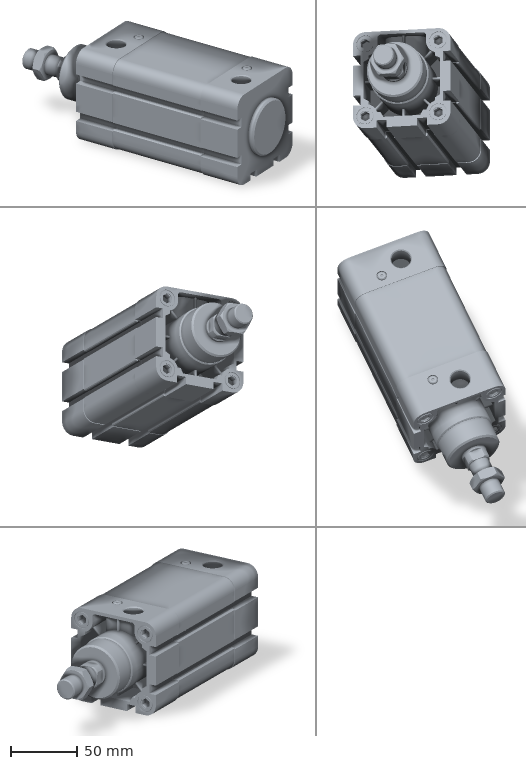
import cadquery as cq
import math


CAP_LENGTH = 33.0
TUBE_LENGTH = 79.7
BODY_LENGTH = 2 * CAP_LENGTH + TUBE_LENGTH
BODY_WIDTH = 75.0
CORNER_RADIUS = 9.5
TUBE_INSET = 0.5
TUBE_WIDTH = BODY_WIDTH - 2 * TUBE_INSET

SLOT_OFFSET = 15.5
SLOT_LIP = 2.2
SLOT_CHAMFER = 0.7
CAP_SLOT_WIDTH = 7.7
CAP_SLOT_DEPTH = 5.7
TUBE_SLOT_WIDTH = 6.5
TUBE_SLOT_MOUTH = 5.3
TUBE_SLOT_DEPTH = 4.8

POCKET_DEPTH = 26.3
POCKET_HALF = 29.3
POCKET_TOP = 34.8
POCKET_TOP_RADIUS = 2.5
POCKET_SIDE_END = 14.2
POCKET_STEP = 25.5
POCKET_STEP_START = 16.5
RIB_DIAMETER = 1.9
RIB_REACH = 31.0
RIB_START = 5.5

COLLAR_DIAMETER = 45.1
COLLAR_START = -9.9
COLLAR_CHAMFER = 0.9
NOSE_DIAMETER = 43.0
NOSE_START = -27.0
SPIGOT_DIAMETER = 45.0
SPIGOT_LENGTH = 4.4
END_CHAMFER = 1.3

SCREW_OFFSET = BODY_WIDTH / 2 - CORNER_RADIUS
SCREW_GROOVE_OUTER = 13.5
SCREW_GROOVE_INNER = 12.0
SCREW_GROOVE_DEPTH = 0.7
SCREW_RIM_DIAMETER = 8.0
SCREW_RIM_DEPTH = 0.7
SCREW_HEX_FLATS = 6.5
SCREW_HEX_DEPTH = 6.5

PORT_INSET = 16.5
PORT_Y = -7.5
PORT_DIAMETER = 15.0
PORT_RIM = 16.5
PORT_DEPTH = 13.1
PORT_BLOCK_HALF = 15.8
PORT_BLOCK_RADIUS = 8.5
PORT_BLOCK_START = 8.5
CUSHION_INSET = 24.0
CUSHION_Y = 11.5
CUSHION_RECESS_DIAMETER = 8.0
CUSHION_RECESS_DEPTH = 1.0
CUSHION_HEAD_DIAMETER = 6.8
CUSHION_HEAD_CHAMFER = 0.7
CUSHION_PROTRUSION = 0.5
CUSHION_SOCKET_DIAMETER = 1.9
CUSHION_SOCKET_RIM = 2.5
CUSHION_SOCKET_DEPTH = 0.7

ROD_DIAMETER = 20.0
ROD_END = CAP_LENGTH
ROD_SHOULDER = -37.0
ROD_CHAMFER = 0.9
THREAD_DIAMETER = 16.0
ROD_TIP = BODY_LENGTH + SPIGOT_LENGTH - 219
FLATS_WIDTH = 17.0
FLATS_END = -29.5
FLATS_RUNOUT = 0.7
NUT_START = -56.5
NUT_LENGTH = 8.0
NUT_FLATS = 23.0
NUT_CORNERS = NUT_FLATS / math.cos(math.pi / 6)
NUT_CHAMFER = 1.0
HEXAGON_TURN = 30


def cross_section(x):
    """Workplane across the axis at x, with local axes Y and Z."""
    return cq.Workplane("YZ", origin=(x, 0, 0))


def disc(x, diameter, length):
    """Cylinder on the axis, running from x towards +X."""
    return cross_section(x).circle(diameter / 2).extrude(length)


def rimmed_hole(diameter, rim_diameter, depth):
    """Cutter for a blind hole down from Z = 0, with a 45 degree rim chamfer."""
    rim = (rim_diameter - diameter) / 2
    return (
        cq.Workplane("XZ")
        .polyline([(0, 0), (rim_diameter / 2, 0), (diameter / 2, -rim), (diameter / 2, -depth), (0, -depth)])
        .close()
        .revolve(360, (0, 0, 0), (0, 1, 0))
    )


def rounded_bar(x, width, length):
    """Square bar along the axis with rounded long edges."""
    return cross_section(x).rect(width, width).extrude(length).edges("|X").fillet(CORNER_RADIUS)


def cut_slots(bar, slot):
    """Cut a -Y slot, drawn at mid height, twice into each of the -Y, +Y and -Z faces."""
    for angle in (0, 90, 180):
        for offset in (-SLOT_OFFSET, SLOT_OFFSET):
            bar = bar.cut(slot.translate((0, 0, offset)).rotate((0, 0, 0), (1, 0, 0), angle))
    return bar


def make_cap(x):
    slot = (
        cross_section(x)
        .rect(2 * CAP_SLOT_DEPTH, CAP_SLOT_WIDTH)
        .extrude(CAP_LENGTH)
        .translate((0, -BODY_WIDTH / 2, 0))
    )
    return cut_slots(rounded_bar(x, BODY_WIDTH, CAP_LENGTH), slot)


def make_tube():
    """Middle tube with lipped slots, chamfered at the mouth."""
    face = -TUBE_WIDTH / 2
    mouth = TUBE_SLOT_MOUTH / 2
    side = [
        (face, mouth + SLOT_CHAMFER),
        (face + SLOT_CHAMFER, mouth),
        (face + SLOT_LIP, mouth),
        (face + SLOT_LIP, TUBE_SLOT_WIDTH / 2),
        (face + TUBE_SLOT_DEPTH, TUBE_SLOT_WIDTH / 2),
    ]
    outline = side + [(y, -z) for y, z in reversed(side)]
    slot = cross_section(CAP_LENGTH).polyline(outline).close().extrude(TUBE_LENGTH)
    return cut_slots(rounded_bar(CAP_LENGTH, TUBE_WIDTH, TUBE_LENGTH), slot)


def make_pocket_half():
    """The +Y half of the pocket, which steps round the screw corners and is narrower and taller at the top."""
    boss_gap = CORNER_RADIUS * math.cos(math.pi / 4)
    arc_middle = SCREW_OFFSET - boss_gap
    arc_side = SCREW_OFFSET - math.sqrt(CORNER_RADIUS**2 - (SCREW_OFFSET - POCKET_STEP) ** 2)
    top_half = SCREW_OFFSET - CORNER_RADIUS
    top_start = POCKET_TOP - POCKET_TOP_RADIUS
    top_corner = POCKET_TOP_RADIUS * (1 - math.cos(math.pi / 4))
    return (
        cross_section(0)
        .moveTo(0, -POCKET_HALF)
        .lineTo(POCKET_SIDE_END, -POCKET_HALF)
        .lineTo(POCKET_STEP_START, -POCKET_STEP)
        .lineTo(arc_side, -POCKET_STEP)
        .threePointArc((arc_middle, -arc_middle), (POCKET_STEP, -arc_side))
        .lineTo(POCKET_STEP, -POCKET_STEP_START)
        .lineTo(POCKET_HALF, -POCKET_SIDE_END)
        .lineTo(POCKET_HALF, POCKET_SIDE_END)
        .lineTo(POCKET_STEP, POCKET_STEP_START)
        .lineTo(POCKET_STEP, arc_side)
        .threePointArc((arc_middle, arc_middle), (top_half, SCREW_OFFSET))
        .lineTo(top_half, top_start)
        .threePointArc(
            (top_half - top_corner, POCKET_TOP - top_corner), (top_half - POCKET_TOP_RADIUS, POCKET_TOP)
        )
        .lineTo(0, POCKET_TOP)
        .close()
        .extrude(POCKET_DEPTH)
    )


def make_pocket():
    half = make_pocket_half()
    return half.union(half.mirror("XZ"))


def make_port_block():
    """Block around the front port, standing on the pocket floor with rounded front edges."""
    length = CAP_LENGTH - PORT_BLOCK_START
    return (
        cq.Workplane()
        .box(length, 2 * PORT_BLOCK_HALF, BODY_WIDTH / 2 - TUBE_INSET, centered=(False, True, False))
        .edges("<X and |Z")
        .fillet(PORT_BLOCK_RADIUS)
        .translate((PORT_BLOCK_START, 0, 0))
    )


def make_rib(reach, angle):
    """Rib with a half-round front edge, pointing outwards at an angle from +Z."""
    axis = RIB_START + RIB_DIAMETER / 2
    plate = cq.Workplane().box(CAP_LENGTH - axis, RIB_DIAMETER, reach, centered=(False, True, False))
    nose = cq.Workplane().circle(RIB_DIAMETER / 2).extrude(reach)
    rib = plate.union(nose).translate((axis, 0, 0))
    return rib.rotate((0, 0, 0), (1, 0, 0), angle)


def make_corner_screw_cut():
    """Groove round a flush screw head and its hexagon socket, in the plane X = 0."""
    groove = (
        cross_section(0)
        .circle(SCREW_GROOVE_OUTER / 2)
        .circle(SCREW_GROOVE_INNER / 2)
        .extrude(SCREW_GROOVE_DEPTH)
    )
    rim = disc(0, SCREW_RIM_DIAMETER, SCREW_RIM_DEPTH)
    hexagon = cross_section(0).polygon(6, SCREW_HEX_FLATS, circumscribed=True).extrude(SCREW_HEX_DEPTH)
    return groove.union(rim).union(hexagon)


def add_cushion_screw(body, x):
    """Recess in the top face at x with a slightly raised screw head."""
    top = BODY_WIDTH / 2
    recess = (
        cq.Workplane(origin=(x, CUSHION_Y, top))
        .circle(CUSHION_RECESS_DIAMETER / 2)
        .extrude(-CUSHION_RECESS_DEPTH)
    )
    head = (
        cq.Workplane(origin=(x, CUSHION_Y, top - CUSHION_RECESS_DEPTH))
        .circle(CUSHION_HEAD_DIAMETER / 2)
        .extrude(CUSHION_RECESS_DEPTH + CUSHION_PROTRUSION)
        .faces(">Z")
        .chamfer(CUSHION_HEAD_CHAMFER)
    )
    socket = rimmed_hole(CUSHION_SOCKET_DIAMETER, CUSHION_SOCKET_RIM, CUSHION_SOCKET_DEPTH)
    socket = socket.translate((x, CUSHION_Y, top + CUSHION_PROTRUSION))
    return body.cut(recess).union(head).cut(socket)


def make_housing():
    body = make_cap(0).union(make_tube()).union(make_cap(CAP_LENGTH + TUBE_LENGTH))

    body = body.cut(make_pocket()).union(make_port_block())
    body = body.union(make_rib(POCKET_TOP, 0))
    for angle in range(45, 360, 45):
        body = body.union(make_rib(RIB_REACH, angle))

    collar = disc(COLLAR_START, COLLAR_DIAMETER, CAP_LENGTH - COLLAR_START).faces("<X").chamfer(COLLAR_CHAMFER)
    nose = disc(NOSE_START, NOSE_DIAMETER, CAP_LENGTH - NOSE_START).faces("<X").chamfer(END_CHAMFER)
    spigot = disc(BODY_LENGTH, SPIGOT_DIAMETER, SPIGOT_LENGTH).faces(">X").chamfer(END_CHAMFER)
    body = body.union(collar).union(nose).union(spigot)

    for y in (-SCREW_OFFSET, SCREW_OFFSET):
        for z in (-SCREW_OFFSET, SCREW_OFFSET):
            body = body.cut(make_corner_screw_cut().translate((0, y, z)))

    for x in (PORT_INSET, BODY_LENGTH - PORT_INSET):
        port = rimmed_hole(PORT_DIAMETER, PORT_RIM, PORT_DEPTH)
        body = body.cut(port.translate((x, PORT_Y, BODY_WIDTH / 2)))
    for x in (CUSHION_INSET, BODY_LENGTH - CUSHION_INSET):
        body = add_cushion_screw(body, x)

    rod_bore = disc(NOSE_START, ROD_DIAMETER, ROD_END - NOSE_START)
    return body.cut(rod_bore)


def make_flats_cut():
    """Cutter for one wrench flat on the +Z side, with a sloped run-out towards the housing."""
    flat = FLATS_WIDTH / 2
    outside = ROD_DIAMETER / 2
    return (
        cq.Workplane("XZ")
        .polyline([
            (ROD_SHOULDER, flat),
            (FLATS_END, flat),
            (FLATS_END + FLATS_RUNOUT, outside),
            (ROD_SHOULDER, outside),
        ])
        .close()
        .extrude(outside, both=True)
    )


def make_nut():
    """Hexagon with flats facing +Z and -Z and its corners turned off at both ends."""
    hexagon = cross_section(NUT_START).polygon(6, NUT_FLATS, circumscribed=True).extrude(NUT_LENGTH)
    hexagon = hexagon.rotate((0, 0, 0), (1, 0, 0), HEXAGON_TURN)
    turned = (
        disc(NUT_START, NUT_CORNERS, NUT_LENGTH)
        .faces("<X or >X")
        .chamfer(NUT_CHAMFER, (NUT_CORNERS - NUT_FLATS) / 2)
    )
    return hexagon.intersect(turned)


def make_piston_rod():
    shank = disc(ROD_SHOULDER, ROD_DIAMETER, ROD_END - ROD_SHOULDER).faces("<X").chamfer(ROD_CHAMFER)
    for angle in range(0, 360, 90):
        shank = shank.cut(make_flats_cut().rotate((0, 0, 0), (1, 0, 0), angle))
    thread = disc(ROD_TIP, THREAD_DIAMETER, ROD_SHOULDER - ROD_TIP).faces("<X").chamfer(ROD_CHAMFER)
    return shank.union(thread).union(make_nut())


housing = make_housing()
piston_rod = make_piston_rod()

result = cq.Compound.makeCompound([housing.solids().val(), piston_rod.solids().val()])